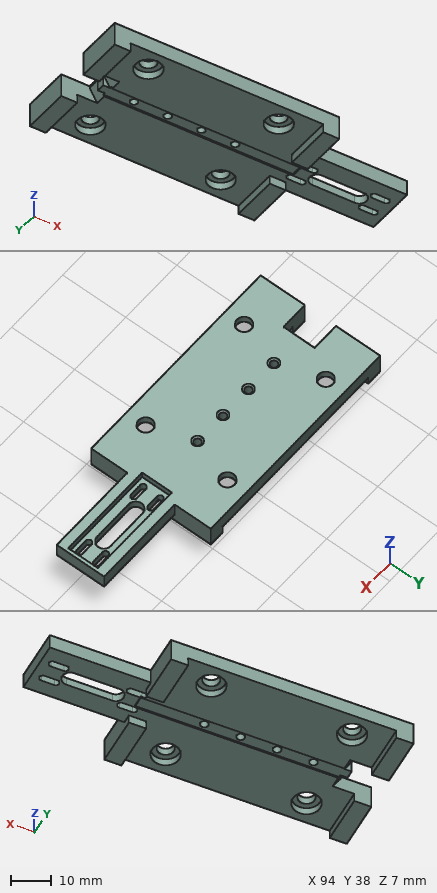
import cadquery as cq

total_length = 94.0
plate_length = 66.4
plate_width = 38.0
plate_thickness = 4.4
overall_height = 7.0
arm_width = 15.0

foot_length = 4.7
foot_height = overall_height - plate_thickness

notch_depth = 8.4
notch_width = 9.9
lip_height = 0.6
undercut_depth = 2.3
web_width = 2.4

groove_width = 3.6
groove_depth = 0.5

mount_diameter = 4.5
mount_bore_diameter = 7.5
mount_bore_depth = 2.2
mount_first_x = 13.9
mount_spacing_x = 38.6
mount_spacing_y = 26.0
row_diameter = 2.2
row_sink_diameter = 3.2
row_sink_depth = 0.5
row_first_x = 18.2
row_pitch = 10.0
row_count = 4

pocket_start = 64.0
pocket_end = 93.0
pocket_width = 9.4
pocket_depth = 2.0
long_slot_length = 16.8
long_slot_width = 4.3
slot_center_x = 78.6
small_slot_length = 5.4
small_slot_width = 1.8
small_slot_spacing_x = 21.35
small_slot_spacing_y = 5.4


def block(start_x, length, width, top_z, height):
    """Box centred on Y that starts at start_x and hangs down from top_z."""
    box = cq.Workplane("XY").box(length, width, height, centered=(False, True, False))
    return box.translate((start_x, 0, top_z - height))


def make_body():
    plate = block(0, plate_length, plate_width, 0, plate_thickness)
    arm = block(0, total_length, arm_width, 0, plate_thickness)
    body = plate.union(arm)
    for foot_x in (0, plate_length - foot_length):
        foot = block(foot_x, foot_length, plate_width, -plate_thickness, foot_height)
        gap = block(foot_x, foot_length, notch_width, -plate_thickness, foot_height)
        body = body.union(foot.cut(gap))
    return body


def make_notch():
    """Rectangular notch with a sloped undercut on each side of a central web."""
    notch = block(0, notch_depth, notch_width, 0, plate_thickness)
    undercut = (
        cq.Workplane("XZ")
        .moveTo(notch_depth, -lip_height)
        .lineTo(notch_depth, -plate_thickness)
        .lineTo(notch_depth + undercut_depth, -plate_thickness)
        .close()
        .extrude(notch_width / 2, both=True)
    )
    web = block(notch_depth, undercut_depth, web_width, 0, plate_thickness)
    return notch.union(undercut.cut(web))


def make_groove():
    groove_top = groove_depth - plate_thickness
    return block(notch_depth, plate_length - notch_depth, groove_width, groove_top, groove_depth)


def make_mount_holes():
    center_x = mount_first_x + mount_spacing_x / 2
    centers = (
        cq.Workplane("XY")
        .center(center_x, 0)
        .rarray(mount_spacing_x, mount_spacing_y, 2, 2)
    )
    holes = centers.circle(mount_diameter / 2).extrude(-plate_thickness)
    bores = centers.circle(mount_bore_diameter / 2).extrude(mount_bore_depth)
    return holes.union(bores.translate((0, 0, -plate_thickness)))


def make_row_holes():
    centers = [(row_first_x + i * row_pitch, 0) for i in range(row_count)]
    row = cq.Workplane("XY").pushPoints(centers)
    holes = row.circle(row_diameter / 2).extrude(-plate_thickness)
    sink = cq.Workplane("XY").circle(row_sink_diameter / 2)
    sink = sink.workplane(offset=-row_sink_depth).circle(row_diameter / 2).loft()
    for x, y in centers:
        holes = holes.union(sink.translate((x, y, 0)))
    return holes


def make_arm_recess():
    pocket = block(pocket_start, pocket_end - pocket_start, pocket_width, 0, pocket_depth)
    floor = cq.Workplane("XY").center(slot_center_x, 0)
    long_slot = floor.slot2D(long_slot_length, long_slot_width).extrude(-plate_thickness)
    small_slots = (
        floor.rarray(small_slot_spacing_x, small_slot_spacing_y, 2, 2)
        .slot2D(small_slot_length, small_slot_width)
        .extrude(-plate_thickness)
    )
    return pocket.union(long_slot).union(small_slots)


result = (
    make_body()
    .cut(make_notch())
    .cut(make_groove())
    .cut(make_mount_holes())
    .cut(make_row_holes())
    .cut(make_arm_recess())
)